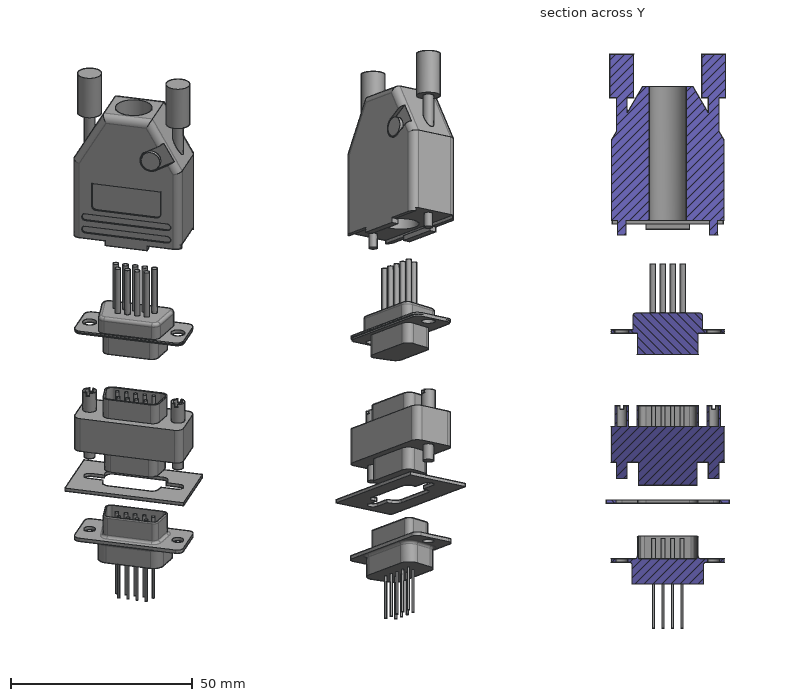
import cadquery as cq
import math


SHELL_ANGLE = 10.0
SCREW_X = 12.7
FLANGE_WIDTH = 31.2
FLANGE_DEPTH = 13.0
FLANGE_THICKNESS = 1.03
CORNER_RADIUS = 2.0
MATING_WIDTH = 17.7
MATING_ROW_LENGTH = 10.5
WALL = 0.5
CONTACTS_PER_ROW = ((5, 1), (4, -1))

HOOD_BOTTOM_Z = 111.4
HOOD_SHOULDER_Z = 134.6
HOOD_TOP_Z = 149.3
HOOD_HALF_X = 15.5
HOOD_HALF_Y = 7.6
HOOD_TOP_HALF_X = 7.0
CABLE_RADIUS = 5.0
FLANGE_SEAT_DEPTH = 1.0
FLANGE_SEAT_HALF_Y = 6.3
HOOK_HALF_X = 6.0
HOOK_WIDTH = 2.0
HOOK_DROP = 1.5
CLAMP_X = 7.0
CLAMP_Z = 137.3
CLAMP_SLOT_RADIUS = 3.0
CLAMP_HEAD_RADIUS = 2.7
CLAMP_DEPTH = 1.1
LABEL_WIDTH = 19.8
LABEL_HEIGHT = 8.0
LABEL_Z = 124.3
LABEL_CORNER = 1.3
GRIP_LENGTH = 25.5
GRIP_WIDTH = 2.0
GRIP_Z = (114.0, 117.9)
RELIEF_DEPTH = 0.6
THUMB_RADIUS = 3.3
THUMB_LENGTH = 12.0
SHANK_RADIUS = 1.5
TIP_RADIUS = 1.19
TIP_Z = 108.4
STACK_TOP_Z = 158.2

CABLE_SHELL_BOTTOM_Z = 75.5
CABLE_FLANGE_Z = 81.3
CABLE_LOWER_PLATE_DEPTH = 12.2
CABLE_BACK_TOP_Z = 87.0
CABLE_PIN_TOP_Z = 100.5
CABLE_SHELL_DEPTH = 9.3
CABLE_SHELL_CORNER = 2.0
CABLE_BACK_WIDTH = 20.5
CABLE_BACK_DEPTH = 12.0
CABLE_BACK_CORNER = 2.0
CABLE_BACK_FILLET = 1.0
CABLE_HOLE_RADIUS = 1.9
CABLE_PIN_RADIUS = 0.8
CABLE_ROW_LENGTH = 11.0
CABLE_ROW_Y = 1.5

ADAPTER_BLOCK_Z = 45.7
ADAPTER_BLOCK_HEIGHT = 10.0
ADAPTER_SHELL_HEIGHT = 5.7
ADAPTER_SHELL_DEPTH = 8.4
ADAPTER_SHELL_CORNER = 2.0
SOCKET_WIDTH = 16.8
SOCKET_CORNER = 2.2
SOCKET_HEIGHT = 6.3
POST_RADIUS = 1.9
POST_BORE_RADIUS = 1.3
POST_SLOT = 1.0
STUD_RADIUS = 1.5
STUD_LENGTH = 4.5
CONTACT_RADIUS = 0.5
ADAPTER_ROW_Y = 1.7

GASKET_SIZE = (34.0, 19.0)
GASKET_Z = 34.5
GASKET_THICKNESS = 1.0
OPENING_WIDTH = 18.0
OPENING_DEPTH = 9.5
OPENING_CORNER = 2.0
GASKET_SLOT_RADIUS = 1.6

BOARD_BODY_Z = 12.2
BOARD_FLANGE_Z = 18.2
BOARD_FLANGE_CORNER = 1.7
BOARD_SHELL_TOP_Z = 25.5
BOARD_SHELL_DEPTH = 8.2
BOARD_SHELL_CORNER = 1.6
BOARD_BODY_MARGIN = 1.5
BOARD_BASE_FILLET = 0.8
BOARD_RIM_FILLET = 0.3
BOARD_HOLE_RADIUS = 1.6
BOARD_PIN_RADIUS = 0.3
BOARD_ROW_Y = 1.3
BOARD_CONTACT_HEIGHT = 5.5


def d_prism(width, depth, corner, bottom, height):
    """Upright D-shaped prism, wider on its +Y side, with rounded corners."""
    centre_y = depth / 2 - corner
    wide_x = width / 2 - corner
    narrow_x = wide_x - 2 * centre_y * math.tan(math.radians(SHELL_ANGLE))
    centres = [(-wide_x, centre_y), (wide_x, centre_y), (narrow_x, -centre_y), (-narrow_x, -centre_y)]
    outline = cq.Workplane("XY", origin=(0, 0, bottom)).polyline(centres).close().offset2D(corner)
    return outline.extrude(height)


def rounded_block(width, depth, corner, bottom, height):
    """Rectangular block with rounded upright corners."""
    block = cq.Workplane("XY", origin=(0, 0, bottom))
    block = block.rect(width, depth).extrude(height)
    return block.edges("|Z").fillet(corner)


def rods(points, radius, bottom, top):
    """Round upright rods at the given XY points."""
    return cq.Workplane("XY", origin=(0, 0, bottom)).pushPoints(points).circle(radius).extrude(top - bottom)


def screw_points():
    return [(-SCREW_X, 0), (SCREW_X, 0)]


def contact_points(row_length, row_y):
    """Two staggered rows: five contacts on the +Y side, spanning row_length, and four on the -Y side."""
    pitch = row_length / (CONTACTS_PER_ROW[0][0] - 1)
    return [
        ((i - (count - 1) / 2) * pitch, side * row_y)
        for count, side in CONTACTS_PER_ROW
        for i in range(count)
    ]


def hood_body():
    """Solid hood with sloping shoulders and rounded front and back outlines."""
    outline = [
        (-HOOD_HALF_X, HOOD_BOTTOM_Z),
        (-HOOD_HALF_X, HOOD_SHOULDER_Z),
        (-HOOD_TOP_HALF_X, HOOD_TOP_Z),
        (HOOD_TOP_HALF_X, HOOD_TOP_Z),
        (HOOD_HALF_X, HOOD_SHOULDER_Z),
        (HOOD_HALF_X, HOOD_BOTTOM_Z),
    ]
    body = cq.Workplane("XZ").polyline(outline).close().extrude(HOOD_HALF_Y, both=True)
    return body.faces("<Y or >Y").edges("not <Z").fillet(CORNER_RADIUS)


def clamp_recess():
    """Round-ended slot in the front face that runs out through the right shoulder, around a round head."""
    shoulder_run = HOOD_HALF_X - HOOD_TOP_HALF_X
    shoulder_rise = HOOD_TOP_Z - HOOD_SHOULDER_Z
    outward_angle = math.degrees(math.atan2(shoulder_run, shoulder_rise))
    slot_length = 2 * CLAMP_SLOT_RADIUS + shoulder_run
    front = cq.Workplane("XZ", origin=(CLAMP_X, -HOOD_HALF_Y, CLAMP_Z))
    end = front.circle(CLAMP_SLOT_RADIUS).extrude(-CLAMP_DEPTH)
    run = front.transformed(rotate=(0, 0, outward_angle)).center(slot_length / 2, 0)
    run = run.rect(slot_length, 2 * CLAMP_SLOT_RADIUS).extrude(-CLAMP_DEPTH)
    head = front.circle(CLAMP_HEAD_RADIUS).extrude(-CLAMP_DEPTH)
    return end.union(run).cut(head)


def face_reliefs():
    """Shallow label recess and two grip grooves in the front face."""
    front = cq.Workplane("XZ", origin=(0, -HOOD_HALF_Y, 0))
    reliefs = front.center(0, LABEL_Z).rect(LABEL_WIDTH, LABEL_HEIGHT).extrude(-RELIEF_DEPTH)
    reliefs = reliefs.edges("|Y and <Z").fillet(LABEL_CORNER)
    for groove_z in GRIP_Z:
        groove = front.center(0, groove_z).slot2D(GRIP_LENGTH, GRIP_WIDTH).extrude(-RELIEF_DEPTH)
        reliefs = reliefs.union(groove)
    return reliefs


def flange_hooks():
    """Hooks under the front and back walls that reach below the flange seat."""
    hook_y = HOOD_HALF_Y - HOOK_WIDTH / 2
    hooks = cq.Workplane("XY", origin=(0, 0, HOOD_BOTTOM_Z)).pushPoints([(0, -hook_y), (0, hook_y)])
    return hooks.rect(2 * HOOK_HALF_X, HOOK_WIDTH).extrude(-HOOK_DROP)


def make_hood():
    body = hood_body()
    body = body.cut(rods([(0, 0)], CABLE_RADIUS, HOOD_BOTTOM_Z, HOOD_TOP_Z))
    seat = cq.Workplane("XY", origin=(0, 0, HOOD_BOTTOM_Z))
    seat = seat.rect(2 * HOOD_HALF_X, 2 * FLANGE_SEAT_HALF_Y).extrude(FLANGE_SEAT_DEPTH)
    body = body.cut(seat).union(flange_hooks())
    for half_turn in (0, 180):
        body = body.cut(clamp_recess().rotate((0, 0, 0), (0, 0, 1), half_turn))
    body = body.cut(face_reliefs())
    thumb_bottom = STACK_TOP_Z - THUMB_LENGTH
    body = body.union(rods(screw_points(), THUMB_RADIUS, thumb_bottom, STACK_TOP_Z))
    body = body.union(rods(screw_points(), SHANK_RADIUS, HOOD_SHOULDER_Z, thumb_bottom))
    return body.union(rods(screw_points(), TIP_RADIUS, TIP_Z, HOOD_SHOULDER_Z))


def make_cable_connector():
    back_bottom = CABLE_FLANGE_Z + FLANGE_THICKNESS
    back_height = CABLE_BACK_TOP_Z - back_bottom
    back = d_prism(CABLE_BACK_WIDTH, CABLE_BACK_DEPTH, CABLE_BACK_CORNER, back_bottom, back_height)
    back = back.faces(">Z").edges().fillet(CABLE_BACK_FILLET)
    step_z = CABLE_FLANGE_Z + FLANGE_THICKNESS / 2
    lower_plate = rounded_block(
        FLANGE_WIDTH, CABLE_LOWER_PLATE_DEPTH, CORNER_RADIUS, CABLE_FLANGE_Z, step_z - CABLE_FLANGE_Z
    )
    upper_plate = rounded_block(FLANGE_WIDTH, FLANGE_DEPTH, CORNER_RADIUS, step_z, back_bottom - step_z)
    flange = lower_plate.union(upper_plate)
    flange = flange.cut(rods(screw_points(), CABLE_HOLE_RADIUS, CABLE_FLANGE_Z, back_bottom))
    shell_height = CABLE_FLANGE_Z - CABLE_SHELL_BOTTOM_Z
    shell = d_prism(
        MATING_WIDTH, CABLE_SHELL_DEPTH, CABLE_SHELL_CORNER, CABLE_SHELL_BOTTOM_Z, shell_height
    )
    contacts = contact_points(CABLE_ROW_LENGTH, CABLE_ROW_Y)
    pins = rods(contacts, CABLE_PIN_RADIUS, CABLE_BACK_TOP_Z, CABLE_PIN_TOP_Z)
    return flange.union(back).union(shell).union(pins)


def adapter_posts(bottom, top):
    """Jack posts with a bore and a screwdriver slot across the top."""
    posts = rods(screw_points(), POST_RADIUS, bottom, top)
    posts = posts.cut(rods(screw_points(), POST_BORE_RADIUS, bottom, top))
    slots = cq.Workplane("XY", origin=(0, 0, top)).pushPoints(screw_points())
    return posts.cut(slots.rect(POST_SLOT, 2 * POST_RADIUS).extrude(-POST_SLOT))


def make_adapter():
    block_top = ADAPTER_BLOCK_Z + ADAPTER_BLOCK_HEIGHT
    shell_top = block_top + ADAPTER_SHELL_HEIGHT
    shell = d_prism(
        MATING_WIDTH, ADAPTER_SHELL_DEPTH, ADAPTER_SHELL_CORNER, block_top, ADAPTER_SHELL_HEIGHT
    )
    shell = shell.cut(
        d_prism(
            MATING_WIDTH - 2 * WALL,
            ADAPTER_SHELL_DEPTH - 2 * WALL,
            ADAPTER_SHELL_CORNER - WALL,
            block_top,
            ADAPTER_SHELL_HEIGHT,
        )
    )
    socket_bottom = ADAPTER_BLOCK_Z - SOCKET_HEIGHT
    socket = d_prism(SOCKET_WIDTH, ADAPTER_SHELL_DEPTH, SOCKET_CORNER, socket_bottom, SOCKET_HEIGHT)
    block = rounded_block(FLANGE_WIDTH, FLANGE_DEPTH, CORNER_RADIUS, ADAPTER_BLOCK_Z, ADAPTER_BLOCK_HEIGHT)
    contacts = contact_points(MATING_ROW_LENGTH, ADAPTER_ROW_Y)
    body = block.union(shell).union(socket)
    body = body.union(rods(contacts, CONTACT_RADIUS, block_top, shell_top))
    body = body.union(adapter_posts(block_top, shell_top))
    return body.union(rods(screw_points(), STUD_RADIUS, ADAPTER_BLOCK_Z - STUD_LENGTH, ADAPTER_BLOCK_Z))


def make_gasket():
    """Flat sheet with one opening: a D shape joined to the slots for the two screws."""
    sheet = cq.Workplane("XY", origin=(0, 0, GASKET_Z))
    slot_length = 2 * (SCREW_X + GASKET_SLOT_RADIUS)
    slot = sheet.slot2D(slot_length, 2 * GASKET_SLOT_RADIUS).extrude(GASKET_THICKNESS)
    opening = d_prism(OPENING_WIDTH, OPENING_DEPTH, OPENING_CORNER, GASKET_Z, GASKET_THICKNESS)
    return sheet.rect(*GASKET_SIZE).extrude(GASKET_THICKNESS).cut(slot).cut(opening)


def make_board_connector():
    flange_top = BOARD_FLANGE_Z + FLANGE_THICKNESS
    shell_height = BOARD_SHELL_TOP_Z - flange_top
    flange = rounded_block(FLANGE_WIDTH, FLANGE_DEPTH, BOARD_FLANGE_CORNER, BOARD_FLANGE_Z, FLANGE_THICKNESS)
    shell = d_prism(MATING_WIDTH, BOARD_SHELL_DEPTH, BOARD_SHELL_CORNER, flange_top, shell_height)
    shell = shell.faces(">Z").edges().fillet(BOARD_RIM_FILLET)
    body = d_prism(
        MATING_WIDTH + 2 * BOARD_BODY_MARGIN,
        BOARD_SHELL_DEPTH + 2 * BOARD_BODY_MARGIN,
        BOARD_SHELL_CORNER + BOARD_BODY_MARGIN,
        BOARD_BODY_Z,
        BOARD_FLANGE_Z - BOARD_BODY_Z,
    )
    connector = flange.union(shell).union(body)
    inside_x = (FLANGE_WIDTH - WALL) / 2
    inside_y = (FLANGE_DEPTH - WALL) / 2
    for face_z in (BOARD_FLANGE_Z, flange_top):
        junction = cq.selectors.BoxSelector(
            (-inside_x, -inside_y, face_z - WALL), (inside_x, inside_y, face_z + WALL), boundingbox=True
        )
        connector = connector.edges(junction).fillet(BOARD_BASE_FILLET)
    connector = connector.cut(
        d_prism(
            MATING_WIDTH - 2 * WALL,
            BOARD_SHELL_DEPTH - 2 * WALL,
            BOARD_SHELL_CORNER - WALL,
            flange_top,
            shell_height,
        )
    )
    connector = connector.cut(rods(screw_points(), BOARD_HOLE_RADIUS, BOARD_FLANGE_Z, flange_top))
    contacts = contact_points(MATING_ROW_LENGTH, BOARD_ROW_Y)
    connector = connector.union(rods(contacts, CONTACT_RADIUS, flange_top, flange_top + BOARD_CONTACT_HEIGHT))
    return connector.union(rods(contacts, BOARD_PIN_RADIUS, 0, BOARD_BODY_Z))


hood = make_hood()
cable_connector = make_cable_connector()
adapter = make_adapter()
gasket = make_gasket()
board_connector = make_board_connector()

result = cq.Compound.makeCompound(
    [hood.val(), cable_connector.val(), adapter.val(), gasket.val(), board_connector.val()]
)